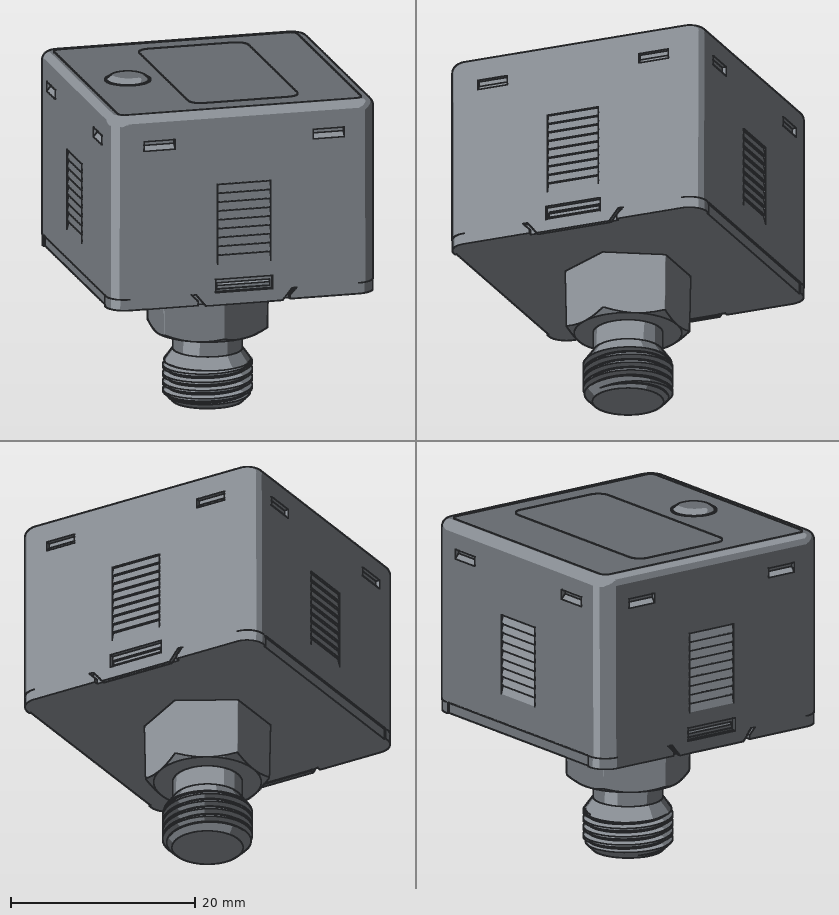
import cadquery as cq
import math

TOTAL_HEIGHT = 37.2
SIDE = 30.0
HALF_SIDE = SIDE / 2

SHELL_TOP = 36.65
SEAM_Z = 16.2
BASE_BOTTOM = 14.95
SHELL_CORNER = 2.0
BASE_CORNER = 2.12
TOP_FILLET = 1.0
WALL = 0.5
BASE_RECESS_HALF_WIDTH = 12.55
BASE_RECESS_DEPTH = 0.2

LID_INSET = 1.25
LID_CORNER = 0.8
LID_GROOVE_WIDTH = 0.07
LID_GROOVE_DEPTH = 0.2
RAISED = 0.055
DISPLAY_LENGTH = 22.7
DISPLAY_WIDTH = 12.3
DISPLAY_CENTRE_Y = 1.23
DISPLAY_CORNER = 1.4
BUTTON_Y = -8.95
COLLAR_RADIUS = 2.5
BUTTON_RADIUS = 2.3
BUTTON_FLAT_RADIUS = 1.4

NOTCH_WIDTH = 3.5
NOTCH_OFFSET = 9.52
NOTCH_TOP = 33.85
NOTCH_HEIGHT = 1.08
LOUVER_WIDTH = 6.0
LOUVER_TOP = 28.42
LOUVER_HEIGHT = 8.95
LOUVER_COUNT = 9
LOUVER_PITCH = LOUVER_HEIGHT / LOUVER_COUNT
LOUVER_DEPTH = 0.25

TAB_BOTTOM = 14.85
TAB_TOP_HALF_WIDTH = 5.4
TAB_BOTTOM_HALF_WIDTH = 4.3
GAP_TOP_HALF_WIDTH = 5.9
GAP_BOTTOM_HALF_WIDTH = 5.17
GAP_KNEE_Z = 15.45
WINDOW_WIDTH = 6.45
WINDOW_TOP = 17.75
WINDOW_BOTTOM = 16.25
NOSE_WIDTH = 5.95
NOSE_TOP = 17.22
NOSE_SHOULDER = 16.95
NOSE_BOTTOM = 16.55
NOSE_HEIGHT = 0.15

Y_WALLS = (0, 180)
X_WALLS = (90, 270)
ALL_WALLS = Y_WALLS + X_WALLS

HEX_SIDES = 6
HEX_TOP_FLATS = 11.9
HEX_DRAFT = 1.0
HEX_BOTTOM = 8.05
HEX_EDGE_FILLET = 0.15
HEX_CHAMFER_RADIUS = 5.85
HEX_CHAMFER_ANGLE = 30.0
NECK_RADIUS = 3.8
NECK_BOTTOM = 5.8

THREAD_RADIUS = 4.87
ROOT_RADIUS = 4.28
THREAD_PITCH = 0.93
THREAD_START = -0.55
RUNOUT_Z = 4.5
THREAD_TOP = 4.3
TIP_RADIUS = 3.87
CREST_FLAT = 0.25
ROOT_FLAT = 0.1
RIDGE_ROOT = 0.1
CORE_GAP = 0.05
ENVELOPE_CLEARANCE = 0.07


def block(x_size, y_size, z_bottom, z_top):
    return cq.Workplane("XY").workplane(offset=z_bottom).rect(x_size, y_size).extrude(z_top - z_bottom)


def prism_on_front_wall(depth_profile, width, offset=0.0):
    """Prism along X from (inward depth, Z) points measured at the -Y wall."""
    points = [(depth - HALF_SIDE, z) for depth, z in depth_profile]
    return cq.Workplane("YZ").polyline(points).close().extrude(width / 2, both=True).translate((offset, 0, 0))


def turned(solid, angle):
    """A -Y wall feature turned about Z to another wall."""
    return solid.rotate((0, 0, 0), (0, 0, 1), angle)


def make_housing():
    shell = block(SIDE, SIDE, SEAM_Z, SHELL_TOP).edges("|Z").fillet(SHELL_CORNER)
    shell = shell.faces(">Z").edges().fillet(TOP_FILLET)
    base = block(SIDE, SIDE, BASE_BOTTOM, SEAM_Z).edges("|Z").fillet(BASE_CORNER)
    recess = prism_on_front_wall(
        [(0, BASE_BOTTOM), (BASE_RECESS_DEPTH, BASE_BOTTOM), (BASE_RECESS_DEPTH, SEAM_Z), (0, SEAM_Z)],
        2 * BASE_RECESS_HALF_WIDTH,
    )
    for angle in Y_WALLS:
        base = base.cut(turned(recess, angle))
    return shell.union(base)


def cut_lid_groove(body):
    outer = SIDE - 2 * LID_INSET
    inner = outer - 2 * LID_GROOVE_WIDTH
    bottom = SHELL_TOP - LID_GROOVE_DEPTH
    ring = block(outer, outer, bottom, SHELL_TOP).edges("|Z").fillet(LID_CORNER)
    lid = block(inner, inner, bottom, SHELL_TOP).edges("|Z").fillet(LID_CORNER - LID_GROOVE_WIDTH)
    return body.cut(ring.cut(lid))


def make_display():
    panel = block(DISPLAY_LENGTH, DISPLAY_WIDTH, SHELL_TOP, SHELL_TOP + RAISED)
    return panel.edges("|Z").fillet(DISPLAY_CORNER).translate((0, DISPLAY_CENTRE_Y, 0))


def make_button():
    """Collar and domed button whose arc runs tangent into the flat top."""
    foot_z = SHELL_TOP + RAISED
    profile = (
        cq.Workplane("XZ")
        .moveTo(0, SHELL_TOP)
        .lineTo(COLLAR_RADIUS, SHELL_TOP)
        .lineTo(COLLAR_RADIUS, foot_z)
        .lineTo(BUTTON_RADIUS, foot_z)
    )
    drop = TOTAL_HEIGHT - foot_z
    run = BUTTON_RADIUS - BUTTON_FLAT_RADIUS
    dome_radius = (run**2 + drop**2) / (2 * drop)
    half_angle = math.asin(run / dome_radius) / 2
    arc_middle = (
        BUTTON_FLAT_RADIUS + dome_radius * math.sin(half_angle),
        TOTAL_HEIGHT - dome_radius * (1 - math.cos(half_angle)),
    )
    profile = profile.threePointArc(arc_middle, (BUTTON_FLAT_RADIUS, TOTAL_HEIGHT))
    profile = profile.lineTo(0, TOTAL_HEIGHT).close()
    return profile.revolve(360, (0, 0, 0), (0, 1, 0)).translate((0, BUTTON_Y, 0))


def cut_wall_notches(body):
    """Two small notches per wall: a flat back above a floor sloping out to the wall."""
    bottom = NOTCH_TOP - NOTCH_HEIGHT
    middle = NOTCH_TOP - NOTCH_HEIGHT / 2
    profile = [(0, bottom), (WALL, middle), (WALL, NOTCH_TOP), (0, NOTCH_TOP)]
    for offset in (-NOTCH_OFFSET, NOTCH_OFFSET):
        notch = prism_on_front_wall(profile, NOTCH_WIDTH, offset)
        for angle in ALL_WALLS:
            body = body.cut(turned(notch, angle))
    return body


def cut_louvers(body):
    """A sawtooth stack of slats on every wall, each sloping outward as it goes down."""
    for index in range(LOUVER_COUNT):
        slat_top = LOUVER_TOP - index * LOUVER_PITCH
        profile = [(0, slat_top), (LOUVER_DEPTH, slat_top), (0, slat_top - LOUVER_PITCH)]
        slat = prism_on_front_wall(profile, LOUVER_WIDTH)
        for angle in ALL_WALLS:
            body = body.cut(turned(slat, angle))
    return body


def wall_plate(outline):
    """Plate one wall thick behind the -Y wall, from an (X, Z) outline."""
    return cq.Workplane("XZ", origin=(0, WALL - HALF_SIDE, 0)).polyline(outline).close().extrude(WALL)


def add_latches(body):
    """Shell tabs in clearance notches of the base, each with a window and a latch nose."""
    clearance = wall_plate([
        (-GAP_TOP_HALF_WIDTH, SEAM_Z),
        (-GAP_BOTTOM_HALF_WIDTH, GAP_KNEE_Z),
        (-GAP_BOTTOM_HALF_WIDTH, BASE_BOTTOM),
        (GAP_BOTTOM_HALF_WIDTH, BASE_BOTTOM),
        (GAP_BOTTOM_HALF_WIDTH, GAP_KNEE_Z),
        (GAP_TOP_HALF_WIDTH, SEAM_Z),
    ])
    tab = wall_plate([
        (-TAB_TOP_HALF_WIDTH, SEAM_Z),
        (-TAB_BOTTOM_HALF_WIDTH, TAB_BOTTOM),
        (TAB_BOTTOM_HALF_WIDTH, TAB_BOTTOM),
        (TAB_TOP_HALF_WIDTH, SEAM_Z),
    ])
    window = prism_on_front_wall(
        [(0, WINDOW_BOTTOM), (WALL, WINDOW_BOTTOM), (WALL, WINDOW_TOP), (0, WINDOW_TOP)], WINDOW_WIDTH
    )
    nose_depth = WALL - NOSE_HEIGHT
    nose = prism_on_front_wall(
        [(WALL, NOSE_BOTTOM), (nose_depth, NOSE_BOTTOM), (nose_depth, NOSE_SHOULDER), (WALL, NOSE_TOP)],
        NOSE_WIDTH,
    )
    for angle in X_WALLS:
        body = body.cut(turned(clearance, angle)).union(turned(tab, angle))
        body = body.cut(turned(window, angle)).union(turned(nose, angle))
    return body


def make_hexagon():
    """Drafted hexagon with rounded edges, corners on X and a conical chamfer at the bottom."""
    height = BASE_BOTTOM - HEX_BOTTOM
    across_corners = HEX_TOP_FLATS / math.cos(math.radians(180 / HEX_SIDES))
    hexagon = (
        cq.Workplane("XY")
        .workplane(offset=BASE_BOTTOM)
        .polygon(HEX_SIDES, across_corners)
        .extrude(-height, taper=HEX_DRAFT)
        .edges("not #Z")
        .fillet(HEX_EDGE_FILLET)
    )
    cone_top_radius = HEX_CHAMFER_RADIUS + height / math.tan(math.radians(HEX_CHAMFER_ANGLE))
    cone = cq.Workplane("XY").add(
        cq.Solid.makeCone(HEX_CHAMFER_RADIUS, cone_top_radius, height, pnt=cq.Vector(0, 0, HEX_BOTTOM))
    )
    return hexagon.intersect(cone)


def make_spigot_envelope():
    """Neck, shoulder cone and 45 degree tip, with a cylinder just clear of the thread crests."""
    radius = THREAD_RADIUS + ENVELOPE_CLEARANCE
    shoulder_slope = (NECK_BOTTOM - THREAD_TOP) / (THREAD_RADIUS - NECK_RADIUS)
    return (
        cq.Workplane("XZ")
        .moveTo(0, 0)
        .lineTo(TIP_RADIUS, 0)
        .lineTo(radius, radius - TIP_RADIUS)
        .lineTo(radius, NECK_BOTTOM - (radius - NECK_RADIUS) * shoulder_slope)
        .lineTo(NECK_RADIUS, NECK_BOTTOM)
        .lineTo(NECK_RADIUS, HEX_BOTTOM)
        .lineTo(0, HEX_BOTTOM)
        .close()
        .revolve(360, (0, 0, 0), (0, 1, 0))
    )


def make_thread_ridge():
    """Right-handed helical ridge, longer than the spigot's threaded length."""
    length = RUNOUT_Z + THREAD_PITCH / 2 - THREAD_START
    helix = cq.Wire.makeHelix(THREAD_PITCH, length, ROOT_RADIUS, center=cq.Vector(0, 0, THREAD_START))
    half_root = (THREAD_PITCH - ROOT_FLAT) / 2
    inner = ROOT_RADIUS - RIDGE_ROOT
    return (
        cq.Workplane("XZ")
        .polyline([
            (inner, THREAD_START - half_root),
            (ROOT_RADIUS, THREAD_START - half_root),
            (THREAD_RADIUS, THREAD_START - CREST_FLAT / 2),
            (THREAD_RADIUS, THREAD_START + CREST_FLAT / 2),
            (ROOT_RADIUS, THREAD_START + half_root),
            (inner, THREAD_START + half_root),
        ])
        .close()
        .sweep(cq.Workplane("XY").add(helix), isFrenet=True)
    )


def make_spigot():
    """Threaded bar, longer than needed at the tip, trimmed to the spigot's outer shape."""
    bar_bottom = -2 * THREAD_PITCH
    core = cq.Workplane("XY").workplane(offset=bar_bottom).circle(ROOT_RADIUS - CORE_GAP)
    core = core.extrude(HEX_BOTTOM - bar_bottom)
    shoulder = cq.Workplane("XY").workplane(offset=RUNOUT_Z).circle(THREAD_RADIUS + ENVELOPE_CLEARANCE)
    shoulder = shoulder.extrude(HEX_BOTTOM - RUNOUT_Z)
    bar = core.union(make_thread_ridge()).union(shoulder)
    return bar.intersect(make_spigot_envelope())


body = make_housing()
body = cut_lid_groove(body)
body = body.union(make_display()).union(make_button())
body = cut_wall_notches(body)
body = cut_louvers(body)
body = add_latches(body)
result = body.union(make_hexagon()).union(make_spigot())